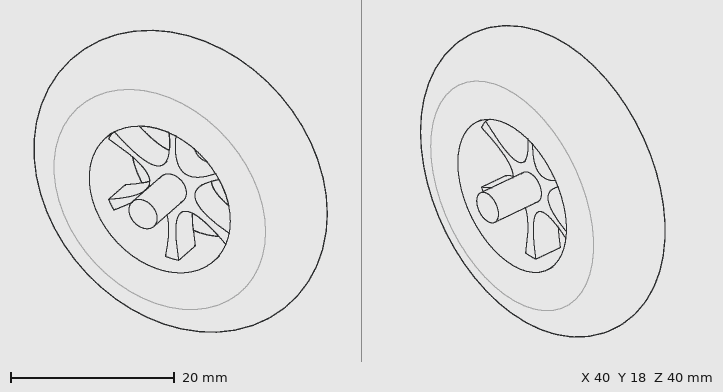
import cadquery as cq
import math

wheel_radius = 20.0
rim_width = 10.0
tread_radius = rim_width / 2
rim_bore_radius = 10.0
hub_width = 4.0
axle_radius = 2.0
axle_length = 18.0

window_tip_radius = 3.2
window_angles = [
    (-25.5, 0, 25.5),
    (34.1, 60, 85.2),
    (94.2, 120, 145.8),
    (154.5, 180, 205.5),
    (214.2, 240, 264.4),
    (275.2, 300, 323.2),
]


def cylinder(radius, length):
    """Solid cylinder along Y, centred on the origin."""
    front = cq.Workplane("XZ", origin=(0, -length / 2, 0))
    return front.circle(radius).extrude(-length)


def polar(radius, angle):
    """Point in the XZ plane, with the angle measured from +X towards +Z."""
    turn = math.radians(angle)
    return (radius * math.cos(turn), radius * math.sin(turn))


def make_rim():
    """Ring with a half-round tread and a plain bore."""
    shoulder_radius = wheel_radius - tread_radius
    profile = (
        cq.Workplane("XY")
        .moveTo(rim_bore_radius, -rim_width / 2)
        .lineTo(shoulder_radius, -rim_width / 2)
        .threePointArc((wheel_radius, 0), (shoulder_radius, rim_width / 2))
        .lineTo(rim_bore_radius, rim_width / 2)
        .close()
    )
    return profile.revolve(360, (0, 0, 0), (0, 1, 0))


def make_window(lower_angle, tip_angle, upper_angle):
    """Cutter for one opening: a curve through the tip, closed by an arc along the bore."""
    lower_end = polar(rim_bore_radius, lower_angle)
    tip = polar(window_tip_radius, tip_angle)
    upper_end = polar(rim_bore_radius, upper_angle)
    bore_middle = polar(rim_bore_radius, (lower_angle + upper_angle) / 2)
    return (
        cq.Workplane("XZ", origin=(0, -hub_width / 2, 0))
        .moveTo(*lower_end)
        .spline([tip, upper_end], includeCurrent=True)
        .threePointArc(bore_middle, lower_end)
        .close()
        .extrude(-hub_width)
    )


def make_wheel():
    """Rim and recessed six-spoke hub in one piece, bored for the axle."""
    hub = cylinder(rim_bore_radius, hub_width)
    for angles in window_angles:
        hub = hub.cut(make_window(*angles))
    return make_rim().union(hub).cut(cylinder(axle_radius, rim_width))


def make_axle():
    """Plain pin through the hub, projecting equally on both sides."""
    return cylinder(axle_radius, axle_length)


wheel = make_wheel()
axle = make_axle()
result = cq.Compound.makeCompound([*wheel.solids().vals(), axle.val()])